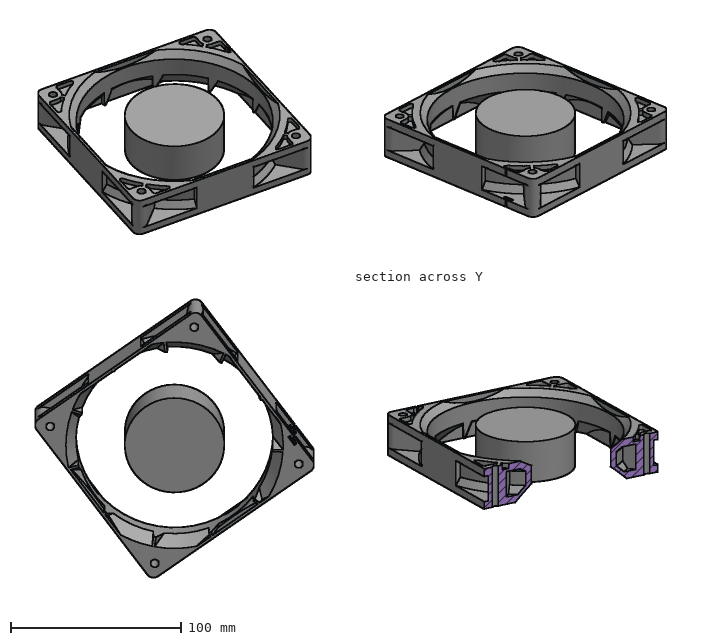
import cadquery as cq
import math

side = 120.0
height = 25.5
half_side = side / 2
corner_radius = 4.5
flange_bottom_top = 4.8
flange_top_bottom = 20.4
side_wall = 1.8
inner_half = half_side - side_wall

bore_radius = 57.8
outlet_radius = 63.8
outlet_height = 9.6
inlet_radius = 61.9
inlet_depth = 4.2

shell_radius = 60.0
shell_low_radius = 62.9
shell_low_height = 9.5
shell_high_radius = 62.0
shell_high_height = 18.2
window_inner_edge = 19.2

hole_radius = 2.4
hole_offset = 52.3
hole_wall_radius = 5.2
pocket_depth = 3.0
pocket_inner_radius = 66.7
pocket_rib_half = 1.2
pocket_fillet = 1.3

slot_x = -38.3
slot_neck_width = 1.5
slot_bar_width = 6.0
slot_bar_bottom = 57.1
slot_bar_top = 58.5

vane_count = 11
first_vane_angle = 94.3
vane_top_half = 3.2
vane_bottom_half = 0.7
vane_bottom_shift = 2.3

hub_radius = 29.3


def rounded_square(z_bottom, z_top):
    """Square slab with rounded corners between two heights."""
    slab = cq.Workplane("XY").box(side, side, z_top - z_bottom, centered=(True, True, False))
    return slab.edges("|Z").fillet(corner_radius).translate((0, 0, z_bottom))


def duct_shell():
    """Solid of revolution that carries the duct between the flanges."""
    return (
        cq.Workplane("XZ")
        .moveTo(0, flange_bottom_top)
        .lineTo(shell_low_radius, flange_bottom_top)
        .lineTo(shell_radius, shell_low_height)
        .lineTo(shell_radius, shell_high_height)
        .lineTo(shell_high_radius, flange_top_bottom)
        .lineTo(0, flange_top_bottom)
        .close()
        .revolve(360, (0, 0, 0), (0, 1, 0))
    )


def corner_web(angle):
    """Diagonal web from the duct shell to a corner, ended by a round post."""
    web_height = flange_top_bottom - flange_bottom_top
    post_distance = math.sqrt(2) * (half_side - corner_radius)
    web = cq.Workplane("XY").box(post_distance, 2 * corner_radius, web_height, centered=(False, True, False))
    post = cq.Workplane("XY").center(post_distance, 0).circle(corner_radius).extrude(web_height)
    return web.union(post).translate((0, 0, flange_bottom_top)).rotate((0, 0, 0), (0, 0, 1), angle)


def middle_section():
    """Everything between the flanges; the spaces left open are the side windows."""
    web_height = flange_top_bottom - flange_bottom_top
    section = duct_shell()
    for length_x, length_y in ((2 * window_inner_edge, side), (side, 2 * window_inner_edge)):
        block = cq.Workplane("XY").box(length_x, length_y, web_height, centered=(True, True, False))
        section = section.union(block.translate((0, 0, flange_bottom_top)))
    for corner in range(4):
        section = section.union(corner_web(45 + 90 * corner))
    limit = cq.Workplane("XY").box(side, side, height, centered=(True, True, False))
    return section.intersect(limit)


def duct_cavity():
    """Bore that flares at both ends, the flares being cut flat along the four sides."""
    flared = (
        cq.Workplane("XZ")
        .lineTo(outlet_radius, 0)
        .lineTo(bore_radius, outlet_height)
        .lineTo(bore_radius, height - inlet_depth)
        .lineTo(inlet_radius, height)
        .lineTo(0, height)
        .close()
        .revolve(360, (0, 0, 0), (0, 1, 0))
    )
    limit = cq.Workplane("XY").box(2 * inner_half, 2 * inner_half, height, centered=(True, True, False))
    return flared.intersect(limit)


def vane_roots(cavity):
    """Tapered roots that fill the outlet flare out from the bore radius."""
    bore = cq.Workplane("XY").circle(bore_radius).extrude(height)
    flare = cavity.cut(bore)
    root = (
        cq.Workplane("YZ")
        .polyline([
            (vane_bottom_shift - vane_bottom_half, 0),
            (vane_bottom_shift + vane_bottom_half, 0),
            (vane_top_half, outlet_height),
            (-vane_top_half, outlet_height),
        ])
        .close()
        .extrude(side)
    )
    roots = cq.Workplane("XY")
    for index in range(vane_count):
        angle = first_vane_angle + index * 360 / vane_count
        roots = roots.add(root.rotate((0, 0, 0), (0, 0, 1), angle).intersect(flare))
    return roots


def corner_pocket():
    """Pocket beside the screw hole of the +X +Y corner, on the +Y side of its rib."""
    diagonal = math.sqrt(0.5)

    def beside_rib(distance):
        along = distance * diagonal
        across = pocket_rib_half * diagonal
        return along - across, along + across

    def on_inner_arc(angle):
        return pocket_inner_radius * math.cos(angle), pocket_inner_radius * math.sin(angle)

    near_hole_x = hole_offset - hole_wall_radius
    hole_distance = hole_offset / diagonal
    rib_outer = beside_rib(hole_distance - math.sqrt(hole_wall_radius**2 - pocket_rib_half**2))
    rib_inner_angle = math.pi / 4 + math.asin(pocket_rib_half / pocket_inner_radius)
    tip_angle = math.asin(inner_half / pocket_inner_radius)
    hole_arc_angle = math.pi + (math.pi / 4 - math.asin(pocket_rib_half / hole_wall_radius)) / 2
    hole_arc_middle = (
        hole_offset + hole_wall_radius * math.cos(hole_arc_angle),
        hole_offset + hole_wall_radius * math.sin(hole_arc_angle),
    )
    pocket = (
        cq.Workplane("XY")
        .workplane(offset=height - pocket_depth)
        .moveTo(*on_inner_arc(tip_angle))
        .lineTo(near_hole_x, inner_half)
        .lineTo(near_hole_x, hole_offset)
        .threePointArc(hole_arc_middle, rib_outer)
        .lineTo(*on_inner_arc(rib_inner_angle))
        .threePointArc(on_inner_arc((rib_inner_angle + tip_angle) / 2), on_inner_arc(tip_angle))
        .close()
        .extrude(pocket_depth)
    )
    return pocket.faces(">Y").edges("|Z").fillet(pocket_fillet)


def wire_slot():
    """T-shaped slot through the full height, open to the +Y side."""
    bar_depth = slot_bar_top - slot_bar_bottom
    neck_depth = half_side - slot_bar_bottom
    bar = cq.Workplane("XY").box(slot_bar_width, bar_depth, height, centered=(True, False, False))
    neck = cq.Workplane("XY").box(slot_neck_width, neck_depth, height, centered=(True, False, False))
    return bar.union(neck).translate((slot_x, slot_bar_bottom, 0))


def make_frame():
    frame = rounded_square(0, flange_bottom_top)
    frame = frame.union(rounded_square(flange_top_bottom, height))
    frame = frame.union(middle_section())
    cavity = duct_cavity()
    frame = frame.cut(cavity)
    for root in vane_roots(cavity).vals():
        frame = frame.union(cq.Workplane(root))
    holes = cq.Workplane("XY").rect(2 * hole_offset, 2 * hole_offset, forConstruction=True)
    frame = frame.cut(holes.vertices().circle(hole_radius).extrude(height))
    pocket = corner_pocket()
    mirrored_pocket = pocket.mirror("YZ").rotate((0, 0, 0), (0, 0, 1), -90)
    for corner in range(4):
        for shape in (pocket, mirrored_pocket):
            frame = frame.cut(shape.rotate((0, 0, 0), (0, 0, 1), 90 * corner))
    return frame.cut(wire_slot())


def make_hub():
    return cq.Workplane("XY").circle(hub_radius).extrude(height)


frame = make_frame()
hub = make_hub()
result = cq.Compound.makeCompound([frame.val(), hub.val()])